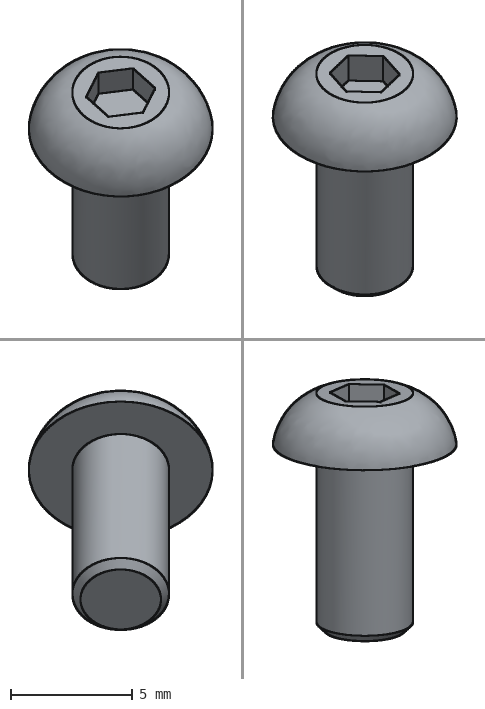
import cadquery as cq
import math

total_length = 10.2
head_diameter = 7.6
head_height = 2.2
dome_bulge = 0.39
crown_diameter = 4.0
shank_diameter = 4.0
tip_chamfer = 0.34

socket_across_flats = 2.5
socket_depth = 1.3

head_radius = head_diameter / 2
crown_radius = crown_diameter / 2
shank_radius = shank_diameter / 2

tip = head_height - total_length


def make_body():
    """Revolve the half profile of the head and shank."""
    profile = (
        cq.Workplane("XZ")
        .moveTo(0, tip)
        .lineTo(shank_radius - tip_chamfer, tip)
        .lineTo(shank_radius, tip + tip_chamfer)
        .lineTo(shank_radius, 0)
        .lineTo(head_radius, 0)
        .sagittaArc((crown_radius, head_height), -dome_bulge)
        .lineTo(0, head_height)
        .close()
    )
    return profile.revolve(360, (0, 0), (0, 1))


def make_socket():
    """Hexagonal prism sunk from the crown."""
    across_corners = socket_across_flats / math.cos(math.pi / 6)
    return (
        cq.Workplane("XY")
        .workplane(offset=head_height - socket_depth)
        .polygon(6, across_corners)
        .extrude(socket_depth)
    )


result = make_body().cut(make_socket())